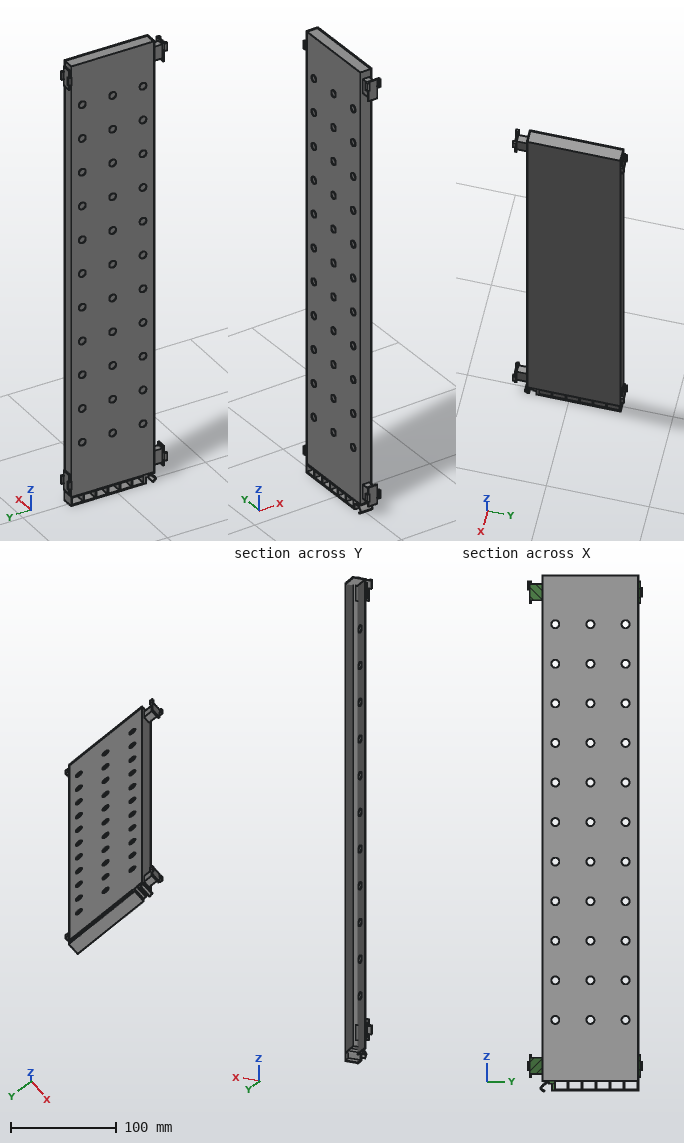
import cadquery as cq

TOP_Z = 244.5
BOTTOM_Z = -244.5

PANEL_THICKNESS = 13.0
PANEL_WIDTH = 91.5
PANEL_BACK_Y = 51.0
PANEL_FRONT_Y = PANEL_BACK_Y - PANEL_WIDTH
PANEL_BOTTOM_Z = -234.5
PANEL_CENTER_Y = PANEL_BACK_Y - PANEL_WIDTH / 2
SHEET = 0.75

HOLE_DIAMETER = 7.5
HOLE_COLUMNS = 3
HOLE_ROWS = 11
HOLE_PITCH_Y = 33.0
HOLE_SPAN_Z = 374.5
HOLE_PITCH_Z = HOLE_SPAN_Z / (HOLE_ROWS - 1)
HOLE_CENTER_Z = 10.7

CELL_COUNT = 6
CELL_WIDTH = 11.5
CELL_RIB = 1.5
CELL_PITCH = CELL_WIDTH + CELL_RIB
CELL_HEIGHT = 7.5
CELL_DEPTH = PANEL_THICKNESS - SHEET
CELL_FLOOR = 1.5
CELL_END_WALL = 3.0
CELL_TRAY_WIDTH = CELL_COUNT * CELL_PITCH + CELL_END_WALL
CELL_TRAY_HEIGHT = CELL_HEIGHT + CELL_FLOOR
CELL_TRAY_FRONT_Y = PANEL_BACK_Y - CELL_TRAY_WIDTH

LIP_THICKNESS = 1.0
LIP_ROOT_WIDTH = 3.0
LIP_ROOT_HEIGHT = 2.5
LIP_BEND_Y = -34.5
LIP_TIP_Y = -42.5
LIP_TIP_Z = -241.5
LIP_BULGE = 0.75
HEM_END_Y = -39.0

PLATE_WIDTH = 10.5
PLATE_HEIGHT = 21.0
PLATE_THICKNESS = 1.5
BACK_PLATE_Y = PANEL_BACK_Y
FRONT_PLATE_Y = -PANEL_BACK_Y
STEM_WIDTH = 7.5
STEM_HEIGHT = 15.5
EAR_SPAN = 15.0
EAR_HEIGHT = 8.5
EAR_DEPTH = 3.2
EAR_WIDTH = (EAR_SPAN - PLATE_WIDTH) / 2
UPPER_FITTING_Z = 228.0
LOWER_FITTING_Z = -220.0
RAISED_EAR_OFFSET = (PLATE_HEIGHT - EAR_HEIGHT) / 2


def block(x_size, y_first, y_second, z_bottom, z_top):
    """Box centred on X = 0 between two Y positions and two Z positions."""
    center = (0, (y_first + y_second) / 2, (z_bottom + z_top) / 2)
    return cq.Workplane("XY", origin=center).box(x_size, abs(y_second - y_first), z_top - z_bottom)


def make_shell():
    outer = block(PANEL_THICKNESS, PANEL_FRONT_Y, PANEL_BACK_Y, PANEL_BOTTOM_Z, TOP_Z)
    cavity = block(
        PANEL_THICKNESS - 2 * SHEET,
        PANEL_FRONT_Y + SHEET,
        PANEL_BACK_Y - SHEET,
        PANEL_BOTTOM_Z + SHEET,
        TOP_Z - SHEET,
    )
    holes = (
        cq.Workplane("YZ", origin=(-PANEL_THICKNESS / 2, PANEL_CENTER_Y, HOLE_CENTER_Z))
        .rarray(HOLE_PITCH_Y, HOLE_PITCH_Z, HOLE_COLUMNS, HOLE_ROWS)
        .circle(HOLE_DIAMETER / 2)
        .extrude(SHEET)
    )
    return outer.cut(cavity).cut(holes)


def make_cell_tray():
    tray_bottom_z = PANEL_BOTTOM_Z - CELL_TRAY_HEIGHT
    tray = block(PANEL_THICKNESS, CELL_TRAY_FRONT_Y, PANEL_BACK_Y, tray_bottom_z, PANEL_BOTTOM_Z)
    for i in range(CELL_COUNT):
        cell_back_y = PANEL_BACK_Y - CELL_RIB - i * CELL_PITCH
        cell = block(
            PANEL_THICKNESS,
            cell_back_y - CELL_WIDTH,
            cell_back_y,
            PANEL_BOTTOM_Z - CELL_HEIGHT,
            PANEL_BOTTOM_Z,
        ).translate((CELL_DEPTH - PANEL_THICKNESS, 0, 0))
        tray = tray.cut(cell)
    return tray


def make_lip():
    top_z = PANEL_BOTTOM_Z
    under_z = top_z - LIP_THICKNESS
    root_front_y = CELL_TRAY_FRONT_Y - LIP_ROOT_WIDTH
    root_bottom_z = top_z - LIP_ROOT_HEIGHT
    outer_mid_y = (LIP_BEND_Y + LIP_TIP_Y) / 2 - LIP_BULGE
    outer_mid_z = (top_z + LIP_TIP_Z) / 2 + LIP_BULGE
    inner_mid_y = outer_mid_y + LIP_THICKNESS
    inner_mid_z = outer_mid_z - LIP_THICKNESS / 2
    return (
        cq.Workplane("YZ", origin=(-PANEL_THICKNESS / 2, 0, 0))
        .moveTo(CELL_TRAY_FRONT_Y, top_z)
        .lineTo(LIP_BEND_Y, top_z)
        .threePointArc((outer_mid_y, outer_mid_z), (LIP_TIP_Y, LIP_TIP_Z))
        .lineTo(HEM_END_Y, BOTTOM_Z)
        .lineTo(HEM_END_Y + LIP_THICKNESS, BOTTOM_Z + LIP_THICKNESS)
        .lineTo(LIP_TIP_Y + LIP_THICKNESS, LIP_TIP_Z)
        .threePointArc((inner_mid_y, inner_mid_z), (LIP_BEND_Y, under_z))
        .lineTo(root_front_y, under_z)
        .lineTo(root_front_y, root_bottom_z)
        .lineTo(CELL_TRAY_FRONT_Y, root_bottom_z)
        .close()
        .extrude(PANEL_THICKNESS)
    )


def make_fitting(plate_y, outward, center_z, ear_offset):
    """Plate with two ears pointing outward: +1 at the back of the panel, -1 at the front."""
    plate = block(
        PLATE_WIDTH,
        plate_y,
        plate_y + outward * PLATE_THICKNESS,
        center_z - PLATE_HEIGHT / 2,
        center_z + PLATE_HEIGHT / 2,
    )
    ear_z = center_z + ear_offset
    ear = block(
        EAR_WIDTH,
        plate_y,
        plate_y + outward * EAR_DEPTH,
        ear_z - EAR_HEIGHT / 2,
        ear_z + EAR_HEIGHT / 2,
    )
    ear_x = (EAR_SPAN - EAR_WIDTH) / 2
    return plate.union(ear.translate((-ear_x, 0, 0))).union(ear.translate((ear_x, 0, 0)))


def make_back_fitting(center_z):
    """Fitting whose plate lies flat on the back edge of the panel."""
    return make_fitting(BACK_PLATE_Y, 1, center_z, 0)


def make_front_fitting(center_z, ear_offset):
    """Fitting held off the front edge of the panel by a stem."""
    stem = block(
        STEM_WIDTH,
        FRONT_PLATE_Y,
        PANEL_FRONT_Y,
        center_z - STEM_HEIGHT / 2,
        center_z + STEM_HEIGHT / 2,
    )
    return make_fitting(FRONT_PLATE_Y, -1, center_z, ear_offset).union(stem)


panel = make_shell().union(make_cell_tray()).union(make_lip())

back_fittings = [make_back_fitting(z) for z in (UPPER_FITTING_Z, LOWER_FITTING_Z)]

front_fittings = [
    make_front_fitting(z, ear_offset)
    for z, ear_offset in ((UPPER_FITTING_Z, RAISED_EAR_OFFSET), (LOWER_FITTING_Z, 0))
]

result = cq.Compound.makeCompound(
    [panel.val(), *[fitting.val() for fitting in back_fittings + front_fittings]]
)